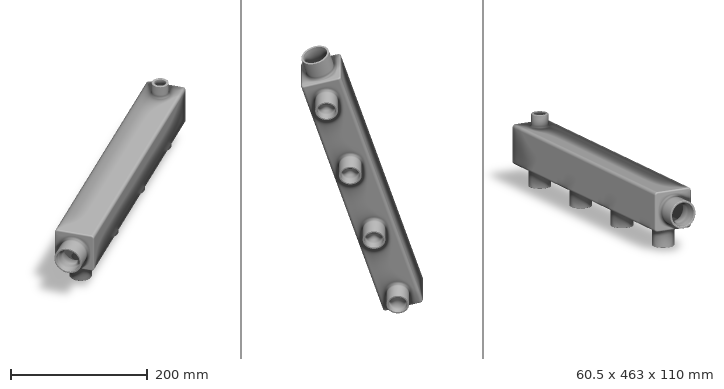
import cadquery as cq
import math

overall_length = 463
tube_size = 60.5
tube_corner = 4.5
end_rounding = 2.5
wall = 3.0

weld_radius = 3.0
edge_break = 0.5

main_diameter = 42.0
main_bore = 36.0
main_length = 29.5

branch_diameter = 33.5
branch_bore = 27.5
branch_length = 30.0
branch_count = 4
branch_inset = 29.0
branch_pitch = 124.5

vent_diameter = 25.0
vent_bore = 17.0
vent_length = 19.5

tube_length = overall_length - main_length
half_size = tube_size / 2
cavity_size = tube_size - 2 * wall
cavity_length = tube_length - 2 * wall
cavity_corner = tube_corner - wall
bore_depth = 2 * wall

first_branch_y = tube_length - branch_inset
branch_positions = [first_branch_y - i * branch_pitch for i in range(branch_count)]


def rounded_bar(size, length, corner, start):
    """Square bar with rounded long edges, running from start along +Y."""
    bar = cq.Workplane("XY").box(size, length, size).edges("|Y").fillet(corner)
    return bar.translate((0, start + length / 2, 0))


def revolve_on(plane, profile):
    """Revolve an XZ profile about Z and stand the solid on the given plane."""
    solid = profile.close().revolve(360, (0, 0), (0, 1)).val()
    return cq.Workplane(solid.moved(cq.Location(plane)))


def stub(plane, diameter, length):
    """Round pipe end with a concave weld fillet at its root and a broken outer edge."""
    radius = diameter / 2
    weld_middle = weld_radius * (1 - math.sqrt(0.5))
    profile = (
        cq.Workplane("XZ")
        .lineTo(radius + weld_radius, 0)
        .threePointArc((radius + weld_middle, weld_middle), (radius, weld_radius))
        .lineTo(radius, length - edge_break)
        .lineTo(radius - edge_break, length)
        .lineTo(0, length)
    )
    return revolve_on(plane, profile)


def bore(plane, diameter, length):
    """Cutter through a stub and the tube wall, with a chamfer at the open end."""
    radius = diameter / 2
    profile = (
        cq.Workplane("XZ")
        .moveTo(0, -bore_depth)
        .lineTo(radius, -bore_depth)
        .lineTo(radius, length - edge_break)
        .lineTo(radius + edge_break, length)
        .lineTo(0, length)
    )
    return revolve_on(plane, profile)


tube = rounded_bar(tube_size, tube_length, tube_corner, 0).faces("<Y or >Y").fillet(end_rounding)
cavity = rounded_bar(cavity_size, cavity_length, cavity_corner, wall)
result = tube.cut(cavity)

main_plane = cq.Plane(origin=(0, 0, 0), xDir=(1, 0, 0), normal=(0, -1, 0))
vent_plane = cq.Plane(origin=(0, first_branch_y, half_size), xDir=(1, 0, 0), normal=(0, 0, 1))
connections = [
    (main_plane, main_diameter, main_bore, main_length),
    (vent_plane, vent_diameter, vent_bore, vent_length),
]
for y in branch_positions:
    branch_plane = cq.Plane(origin=(0, y, -half_size), xDir=(1, 0, 0), normal=(0, 0, -1))
    connections.append((branch_plane, branch_diameter, branch_bore, branch_length))

for plane, diameter, bore_diameter, length in connections:
    result = result.union(stub(plane, diameter, length))
    result = result.cut(bore(plane, bore_diameter, length))